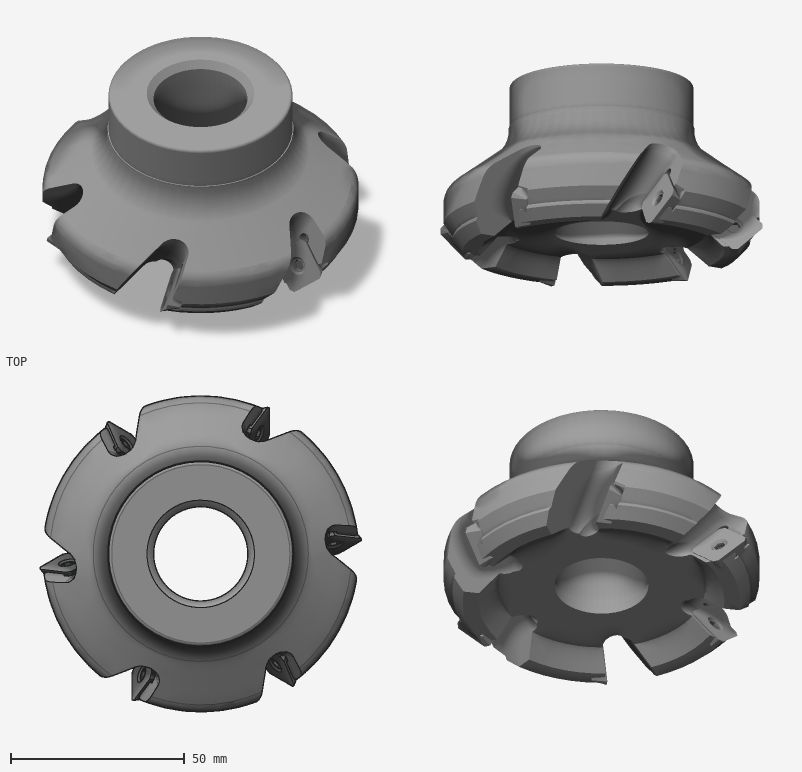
import cadquery as cq
import math

TOTAL_HEIGHT = 50.0
HUB_DIAMETER = 53.0
HUB_ROUND = 0.8
HUB_BOTTOM_Z = 37.1
COLLAR_DIAMETER = 53.5
COLLAR_BOTTOM_Z = 36.5
NECK_RADIUS = 10.2
RIM_DIAMETER = 91.0
RIM_TOP_Z = 15.2
RIM_BOTTOM_Z = 8.7
RIM_ROUND = 4.9
LEDGE_INNER_RADIUS = 42.7
LEDGE_INNER_Z = 5.1
LEDGE_OUTER_RADIUS = 42.9
LEDGE_OUTER_Z = 4.6
LEDGE_BOTTOM_Z = 4.0
FACE_RADIUS = 39.9
FACE_Z = 0.9

BORE_DIAMETER = 27.05
BORE_CHAMFER = 1.9
RECESS_RADIUS = 35.4
RECESS_TOP_Z = 6.3

INSERT_COUNT = 6
EDGE_ANGLE = 45.0
INSERT_CENTRE_RADIUS = 38.35
INSERT_CENTRE_OFFSET = 2.5
RADIAL_RAKE = 11.7
AXIAL_RAKE = 19.3
INSERT_SIDE = 12.6
INSERT_CORNER = 8.1
INSERT_THICKNESS = 4.0
INSERT_RELIEF = 25.0

SEAT_DIAMETER = 5.3
SCREW_DIAMETER = 4.1
SOCKET_DIAMETER = 3.5
SEAT_DEPTH = 0.6
SOCKET_DEPTH = 1.4
SOCKET_SIDES = 6

POCKET_REACH = 5.6
CORNER_RELIEF_DIAMETER = 3.3
CORNER_RELIEF_SHIFT = 0.4
EDGE_GAP = 0.2
TIP_GAP = 1.1
TIP_GAP_LENGTH = 3.7
INNER_CLEARANCE = 2.8
INNER_CLEARANCE_LENGTH = 18.9

GULLET_RADIUS = 4.3
GULLET_OPENING = 29.0
GULLET_TURN = 13.6
GULLET_FLOOR_SHIFT = 6.3
GULLET_SETBACK = 0.6
GULLET_LENGTH = 74.1
GULLET_REACH = 37.05

radial, axial = math.radians(RADIAL_RAKE), math.radians(AXIAL_RAKE)
face_normal = cq.Vector(
    math.sin(radial) * math.cos(axial),
    -math.cos(radial) * math.cos(axial),
    math.sin(axial),
)
face_outward = cq.Vector(math.cos(radial), math.sin(radial), 0)
insert_centre_z = INSERT_CORNER * math.cos(axial)
insert_centre = cq.Vector(INSERT_CENTRE_RADIUS, INSERT_CENTRE_OFFSET, insert_centre_z)
insert_plane = cq.Plane(insert_centre, face_outward, face_normal)


def repeated(shape):
    """Copies of a shape, one for each insert, evenly spaced around the tool axis."""
    pitch = 360 / INSERT_COUNT
    return [shape.rotate((0, 0, 0), (0, 0, 1), i * pitch) for i in range(INSERT_COUNT)]


def make_blank():
    """Solid of revolution with the bore and the bottom recess."""
    hub_r, collar_r, rim_r = HUB_DIAMETER / 2, COLLAR_DIAMETER / 2, RIM_DIAMETER / 2
    bore_r = BORE_DIAMETER / 2

    neck_x, neck_z = collar_r + NECK_RADIUS, COLLAR_BOTTOM_Z
    rim_x, rim_z = rim_r - RIM_ROUND, RIM_TOP_Z
    centre_line = math.atan2(neck_z - rim_z, neck_x - rim_x)
    spacing = math.hypot(neck_x - rim_x, neck_z - rim_z)
    cone_angle = centre_line - math.acos((NECK_RADIUS + RIM_ROUND) / spacing)

    def neck_point(angle):
        return (neck_x - NECK_RADIUS * math.cos(angle), neck_z - NECK_RADIUS * math.sin(angle))

    def rim_point(angle):
        return (rim_x + RIM_ROUND * math.cos(angle), rim_z + RIM_ROUND * math.sin(angle))

    recess_top_r = RECESS_RADIUS - (RECESS_TOP_Z - FACE_Z)
    profile = (
        cq.Workplane("XZ")
        .moveTo(bore_r + BORE_CHAMFER, TOTAL_HEIGHT)
        .lineTo(hub_r - HUB_ROUND, TOTAL_HEIGHT)
        .tangentArcPoint((hub_r, TOTAL_HEIGHT - HUB_ROUND), relative=False)
        .lineTo(hub_r, HUB_BOTTOM_Z)
        .lineTo(collar_r, HUB_BOTTOM_Z)
        .lineTo(collar_r, COLLAR_BOTTOM_Z)
        .threePointArc(neck_point(cone_angle / 2), neck_point(cone_angle))
        .lineTo(*rim_point(cone_angle))
        .threePointArc(rim_point(cone_angle / 2), (rim_r, RIM_TOP_Z))
        .lineTo(rim_r, RIM_BOTTOM_Z)
        .lineTo(LEDGE_INNER_RADIUS, LEDGE_INNER_Z)
        .lineTo(LEDGE_OUTER_RADIUS, LEDGE_OUTER_Z)
        .lineTo(LEDGE_OUTER_RADIUS, LEDGE_BOTTOM_Z)
        .lineTo(FACE_RADIUS, FACE_Z)
        .lineTo(RECESS_RADIUS, FACE_Z)
        .lineTo(recess_top_r, RECESS_TOP_Z)
        .lineTo(bore_r, RECESS_TOP_Z)
        .lineTo(bore_r, TOTAL_HEIGHT - BORE_CHAMFER)
        .close()
    )
    return profile.revolve(360, (0, 0, 0), (0, 1, 0))


def insert_outline():
    """Square on edge with flattened corners, drawn on the insert face."""
    flat = INSERT_SIDE / math.sqrt(2) - INSERT_CORNER
    tip = INSERT_CORNER
    points = [
        (tip, flat), (flat, tip), (-flat, tip), (-tip, flat),
        (-tip, -flat), (-flat, -tip), (flat, -tip), (tip, -flat),
    ]
    return cq.Workplane(insert_plane).polyline(points).close()


def make_insert_blank():
    return insert_outline().extrude(-INSERT_THICKNESS, taper=INSERT_RELIEF)


def make_insert():
    """Insert with its screw: a tapered seat around the head and a six-sided socket in it."""
    seat = (
        cq.Workplane(insert_plane)
        .circle(SEAT_DIAMETER / 2)
        .workplane(offset=-SEAT_DEPTH)
        .circle(SCREW_DIAMETER / 2)
        .loft()
    )
    socket = (
        cq.Workplane(insert_plane)
        .polygon(SOCKET_SIDES, SOCKET_DIAMETER)
        .extrude(-SEAT_DEPTH - SOCKET_DEPTH)
    )
    return make_insert_blank().cut(seat).cut(socket)


def make_edge_clearance():
    """Stepped gap in front of the upper outer insert edge, wider toward the outer tip."""
    edge_end = INSERT_CORNER * math.sqrt(2) - INSERT_SIDE / 2
    edge = INSERT_SIDE / 2
    tip_end = edge_end + TIP_GAP
    points = [
        (-edge_end, 0), (-edge_end, edge + EDGE_GAP),
        (tip_end - TIP_GAP_LENGTH, edge + EDGE_GAP), (tip_end - TIP_GAP_LENGTH, edge + TIP_GAP),
        (tip_end, edge + TIP_GAP), (tip_end, edge), (edge_end, 0),
    ]
    return (
        cq.Workplane(insert_plane.rotated((0, 0, -EDGE_ANGLE)))
        .polyline(points)
        .close()
        .extrude(-INSERT_THICKNESS)
    )


def make_inner_clearance():
    """Round-bottomed channel along the upper inner insert edge, running out into the recess."""
    along_edge = (insert_plane.xDir + insert_plane.yDir).normalized()
    away_from_edge = (insert_plane.yDir - insert_plane.xDir).normalized()
    half_side = INSERT_SIDE / 2
    start = insert_centre + away_from_edge * half_side + along_edge * half_side
    return (
        cq.Workplane(cq.Plane(start, away_from_edge, along_edge))
        .center(0, INNER_CLEARANCE - GULLET_SETBACK)
        .circle(INNER_CLEARANCE)
        .extrude(-INNER_CLEARANCE_LENGTH)
    )


def make_pocket():
    """Seat for the insert: flanks continued toward the gullet, clearances at edge and corner."""
    opening = insert_outline().extrude(POCKET_REACH, taper=-INSERT_RELIEF)
    relief = (
        cq.Workplane(insert_plane)
        .center(0, INSERT_CORNER + CORNER_RELIEF_SHIFT)
        .circle(CORNER_RELIEF_DIAMETER / 2)
        .extrude(-INSERT_THICKNESS)
    )
    return make_insert_blank().union(opening).union(relief).union(make_edge_clearance())


def make_gullet():
    """Slanted chip groove: two flat walls tangent to a round floor."""
    axis_angle = math.radians(EDGE_ANGLE + GULLET_TURN)
    axis_up = insert_plane.xDir * math.cos(axis_angle) + insert_plane.yDir * math.sin(axis_angle)
    outward = insert_plane.xDir * math.sin(axis_angle) - insert_plane.yDir * math.cos(axis_angle)
    lift = GULLET_RADIUS - GULLET_SETBACK
    centre = insert_centre - outward * GULLET_FLOOR_SHIFT + face_normal * lift
    plane = cq.Plane(centre, outward, axis_up)

    opening = math.radians(GULLET_OPENING)
    end = 1.5 * math.pi - opening
    middle = (math.pi / 2 + end) / 2
    end_point = (GULLET_RADIUS * math.cos(end), GULLET_RADIUS * math.sin(end))
    mid_point = (GULLET_RADIUS * math.cos(middle), GULLET_RADIUS * math.sin(middle))
    far_point = (
        end_point[0] + GULLET_REACH * math.cos(opening),
        end_point[1] - GULLET_REACH * math.sin(opening),
    )
    return (
        cq.Workplane(plane)
        .moveTo(GULLET_REACH, GULLET_RADIUS)
        .lineTo(0, GULLET_RADIUS)
        .threePointArc(mid_point, end_point)
        .lineTo(*far_point)
        .close()
        .extrude(GULLET_LENGTH / 2, both=True)
    )


def make_cutter_body():
    body = make_blank()
    for make_cutout in (make_gullet, make_inner_clearance, make_pocket):
        for cutout in repeated(make_cutout()):
            body = body.cut(cutout)
    return body


cutter_body = make_cutter_body()
inserts = repeated(make_insert())

result = cq.Compound.makeCompound([cutter_body.val(), *[insert.val() for insert in inserts]])